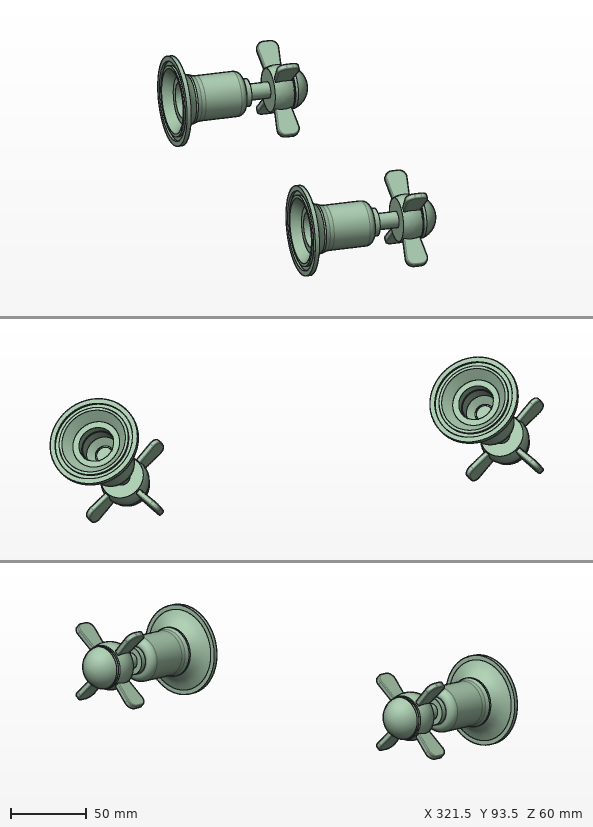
import cadquery as cq
import math

OVERALL_LENGTH = 321.5
TAP_HEIGHT = 93.5
FLANGE_DIAMETER = 60.0
FLANGE_RADIUS = FLANGE_DIAMETER / 2
TAP_OFFSET = OVERALL_LENGTH / 2 - FLANGE_RADIUS

RIM_THICKNESS = 3.0
RIM_LEDGE_RADIUS = 27.0
FLANGE_TOP = 12.5
NECK_RADIUS = 16.5
NECK_BOTTOM = 11.3
BELL_MID_RADIUS = 21.0
BELL_MID_HEIGHT = 6.0
FLANGE_HOLE_RADIUS = 12.0
CUP_MOUTH_RADIUS = 22.0
CUP_FLOOR_RADIUS = 16.0
CUP_DEPTH = 6.0
GROOVE_INNER_RADIUS = 23.8
GROOVE_OUTER_RADIUS = 26.7
GROOVE_DEPTH = 1.5

BARREL_RADIUS = 15.0
FOOT_RADIUS = NECK_RADIUS
COVE_BOTTOM = 15.5
COVE_BOTTOM_RADIUS = 15.5
COVE_TOP = 18.3
SHOULDER_HEIGHT = 48.5
SHOULDER_FILLET = 5.0
COLLAR_RADIUS = 9.3
COLLAR_TOP = 52.5
BORE_RADIUS = 11.3
BORE_TOP = 22.0
BORE_CONE_RADIUS = 6.5
BORE_CONE_TOP = 25.7

STEM_RADIUS = 5.5
STEM_SOCKET_DEPTH = 6.5

BALL_RADIUS = 16.0
HUB_BOTTOM = 67.0
HUB_TOP = 80.5
HUB_MIDDLE = (HUB_BOTTOM + HUB_TOP) / 2
BLADE_COUNT = 4
BLADE_FIRST_ANGLE = 45.0
BLADE_TIP_RADIUS = 34.7
BLADE_THICKNESS = 4.0
BLADE_ROOT_RADIUS = 13.0
BLADE_ROOT_HALF_WIDTH = 5.5
BLADE_TIP_HALF_WIDTH = 8.0
BLADE_CORNER = 5.0
BLADE_EDGE_FILLET = 0.5

CAP_RADIUS = 14.0
CAP_NECK_RADIUS = 13.2
CAP_NECK_TOP = 81.5
DOME_BASE = 83.3


def revolve(profile):
    """Turn a closed radius/height profile about the Y axis."""
    return profile.close().revolve(360, (0, 0, 0), (0, 1, 0))


def make_flange():
    """Bell flange with a grooved back face and a conical cup around its centre hole."""
    profile = (
        cq.Workplane("XY")
        .moveTo(FLANGE_HOLE_RADIUS, FLANGE_TOP)
        .lineTo(NECK_RADIUS, FLANGE_TOP)
        .lineTo(NECK_RADIUS, NECK_BOTTOM)
        .threePointArc((BELL_MID_RADIUS, BELL_MID_HEIGHT), (RIM_LEDGE_RADIUS, RIM_THICKNESS))
        .lineTo(FLANGE_RADIUS, RIM_THICKNESS)
        .lineTo(FLANGE_RADIUS, 0)
        .lineTo(GROOVE_OUTER_RADIUS, 0)
        .lineTo(GROOVE_OUTER_RADIUS, GROOVE_DEPTH)
        .lineTo(GROOVE_INNER_RADIUS, GROOVE_DEPTH)
        .lineTo(GROOVE_INNER_RADIUS, 0)
        .lineTo(CUP_MOUTH_RADIUS, 0)
        .lineTo(CUP_FLOOR_RADIUS, CUP_DEPTH)
        .lineTo(FLANGE_HOLE_RADIUS, CUP_DEPTH)
    )
    return revolve(profile)


def make_barrel():
    """Hollow barrel with a flared foot, rounded shoulder and collar, bored to fit the stem."""
    fillet_start = SHOULDER_HEIGHT - SHOULDER_FILLET
    fillet_end = BARREL_RADIUS - SHOULDER_FILLET
    fillet_reach = SHOULDER_FILLET * math.sqrt(0.5)
    fillet_mid = (fillet_end + fillet_reach, fillet_start + fillet_reach)
    profile = (
        cq.Workplane("XY")
        .moveTo(BORE_RADIUS, FLANGE_TOP)
        .lineTo(FOOT_RADIUS, FLANGE_TOP)
        .lineTo(COVE_BOTTOM_RADIUS, COVE_BOTTOM)
        .lineTo(BARREL_RADIUS, COVE_TOP)
        .lineTo(BARREL_RADIUS, fillet_start)
        .threePointArc(fillet_mid, (fillet_end, SHOULDER_HEIGHT))
        .lineTo(COLLAR_RADIUS, SHOULDER_HEIGHT)
        .lineTo(COLLAR_RADIUS, COLLAR_TOP)
        .lineTo(STEM_RADIUS, COLLAR_TOP)
        .lineTo(STEM_RADIUS, BORE_CONE_TOP)
        .lineTo(BORE_CONE_RADIUS, BORE_CONE_TOP)
        .lineTo(BORE_RADIUS, BORE_TOP)
    )
    return revolve(profile)


def make_stem():
    """Round stem from the top of the bore cone into a socket in the hub."""
    length = HUB_BOTTOM + STEM_SOCKET_DEPTH - BORE_CONE_TOP
    bottom = cq.Vector(0, BORE_CONE_TOP, 0)
    axis = cq.Vector(0, 1, 0)
    return cq.Workplane(cq.Solid.makeCylinder(STEM_RADIUS, length, bottom, axis))


def make_blade():
    """One flat blade along +X, wider toward its rounded tip."""
    root = BLADE_ROOT_HALF_WIDTH
    tip = BLADE_TIP_HALF_WIDTH
    return (
        cq.Workplane("XY")
        .polyline([
            (BLADE_ROOT_RADIUS, HUB_MIDDLE - root),
            (BLADE_TIP_RADIUS, HUB_MIDDLE - tip),
            (BLADE_TIP_RADIUS, HUB_MIDDLE + tip),
            (BLADE_ROOT_RADIUS, HUB_MIDDLE + root),
        ])
        .close()
        .extrude(BLADE_THICKNESS / 2, both=True)
        .edges("|Z and >X")
        .fillet(BLADE_CORNER)
        .faces(">Z or <Z")
        .edges("not <X")
        .fillet(BLADE_EDGE_FILLET)
    )


def make_handle():
    """Ball hub with its ends cut flat, four blades around it and a socket for the stem."""
    half_height = (HUB_TOP - HUB_BOTTOM) / 2
    end_radius = math.sqrt(BALL_RADIUS**2 - half_height**2)
    profile = (
        cq.Workplane("XY")
        .moveTo(0, HUB_BOTTOM)
        .lineTo(end_radius, HUB_BOTTOM)
        .threePointArc((BALL_RADIUS, HUB_MIDDLE), (end_radius, HUB_TOP))
        .lineTo(0, HUB_TOP)
    )
    handle = revolve(profile)
    blade = make_blade()
    for index in range(BLADE_COUNT):
        angle = BLADE_FIRST_ANGLE + index * 360 / BLADE_COUNT
        handle = handle.union(blade.rotate((0, 0, 0), (0, 1, 0), angle))
    return handle.cut(make_stem()).solids()


def make_cap():
    """Spherical dome on a short cylindrical band and neck."""
    dome_height = TAP_HEIGHT - DOME_BASE
    dome_sphere = (CAP_RADIUS**2 + dome_height**2) / (2 * dome_height)
    dome_centre = TAP_HEIGHT - dome_sphere
    mid_angle = (math.radians(90) + math.asin((DOME_BASE - dome_centre) / dome_sphere)) / 2
    dome_mid = (dome_sphere * math.cos(mid_angle), dome_centre + dome_sphere * math.sin(mid_angle))
    profile = (
        cq.Workplane("XY")
        .moveTo(0, HUB_TOP)
        .lineTo(CAP_NECK_RADIUS, HUB_TOP)
        .lineTo(CAP_NECK_RADIUS, CAP_NECK_TOP)
        .lineTo(CAP_RADIUS, CAP_NECK_TOP)
        .lineTo(CAP_RADIUS, DOME_BASE)
        .threePointArc(dome_mid, (0, TAP_HEIGHT))
    )
    return revolve(profile)


tap_bodies = [make_flange(), make_barrel(), make_stem(), make_handle(), make_cap()]
solids = []
for offset in (-TAP_OFFSET, TAP_OFFSET):
    for body in tap_bodies:
        solids.append(body.translate((offset, 0, 0)).val())

result = cq.Compound.makeCompound(solids)